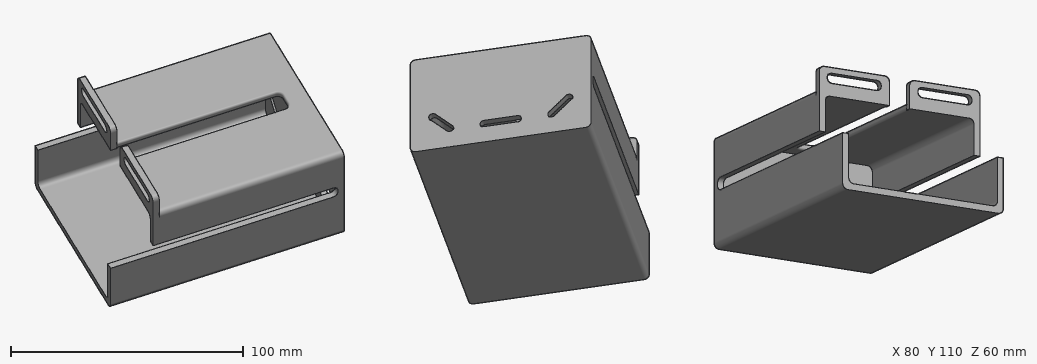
import cadquery as cq

width = 80.0
depth = 110
box_height = 49.9
total_height = 60.0
wall = 3.0
corner_radius = 2.5

upper_front_y = 20.0
tab_back_y = upper_front_y + wall

side_gap_bottom = 25.1
side_gap_height = 5.6

roof_slot_width = 10.0
roof_slot_back_y = depth - 10.0
roof_edge_radius = 1.0

tab_slot_length = 26.8
tab_slot_width = 4.5
tab_slot_x = 22.5
tab_slot_z = 55.1

back_slot_width = 3.4
level_slot_length = 18.2
level_slot_z = 10.0
angled_slot_length = 14.1
angled_slot_x = 26.3
angled_slot_z = 13.9
slot_tilt = 45


def block(x_size, y_start, y_end, z_start, z_end):
    """Block centred on X between the given Y and Z limits."""
    return (
        cq.Workplane("XY", origin=(0, y_start, z_start))
        .box(x_size, y_end - y_start, z_end - z_start, centered=(True, False, False))
    )


def slot_cutter(x, z, length, slot_width, tilt, y_start, y_end):
    """Round-ended slot cutter running along Y; a positive tilt raises its +X end."""
    return (
        cq.Workplane("XZ", origin=(x, y_start, z))
        .slot2D(length, slot_width, tilt)
        .extrude(y_start - y_end)
    )


def box_shell():
    """Box open at the front, with rounded lengthwise corners inside and out."""
    outer = block(width, 0, depth, 0, box_height).edges("|Y").fillet(corner_radius)
    cavity = (
        block(width - 2 * wall, 0, depth - wall, wall, box_height - wall)
        .edges("|Y")
        .fillet(corner_radius)
    )
    upper_front = block(width, 0, upper_front_y, side_gap_bottom, box_height)
    return outer.cut(cavity).cut(upper_front)


def cut_roof_slot(body):
    """Cut the roof opening and round its upper and lower rims."""
    cutter = (
        block(roof_slot_width, 0, roof_slot_back_y, box_height - wall, box_height)
        .edges("|Z and >Y")
        .fillet(corner_radius)
    )
    rim_region = cq.selectors.BoxSelector(
        (-roof_slot_width, upper_front_y + roof_edge_radius, box_height - 2 * wall),
        (roof_slot_width, roof_slot_back_y + wall, box_height + wall),
    )
    return body.cut(cutter).edges(rim_region).edges("not |Z").fillet(roof_edge_radius)


def front_frame():
    """Frame at the front of the upper half, with two slotted tabs above the roof."""
    frame = block(width, upper_front_y, tab_back_y, side_gap_bottom, total_height)
    opening = (
        block(width - 2 * wall, upper_front_y, tab_back_y, 0, box_height - wall)
        .edges("|Y")
        .fillet(corner_radius)
    )
    tab_gap = block(roof_slot_width, upper_front_y, tab_back_y, 0, total_height)
    frame = frame.cut(opening).cut(tab_gap).faces(">Z").edges("|Y").fillet(corner_radius)
    for side in (-1, 1):
        frame = frame.cut(
            slot_cutter(
                side * tab_slot_x, tab_slot_z, tab_slot_length, tab_slot_width,
                0, upper_front_y, tab_back_y,
            )
        )
    return frame


def cut_side_gaps(body):
    """Split both side walls from the front to the inner face of the back wall."""
    gap = (
        block(width, 0, depth - wall, side_gap_bottom, side_gap_bottom + side_gap_height)
        .edges("|X and >Y")
        .fillet(corner_radius)
    )
    return body.cut(gap)


def cut_back_slots(body):
    """Cut one level slot and a mirrored pair of angled slots through the back wall."""
    slots = [(0, level_slot_z, level_slot_length, 0)]
    for side in (-1, 1):
        slots.append((side * angled_slot_x, angled_slot_z, angled_slot_length, side * slot_tilt))
    for x, z, length, tilt in slots:
        body = body.cut(slot_cutter(x, z, length, back_slot_width, tilt, depth - wall, depth))
    return body


body = cut_roof_slot(box_shell())
body = body.union(front_frame())
body = cut_side_gaps(body)
result = cut_back_slots(body)